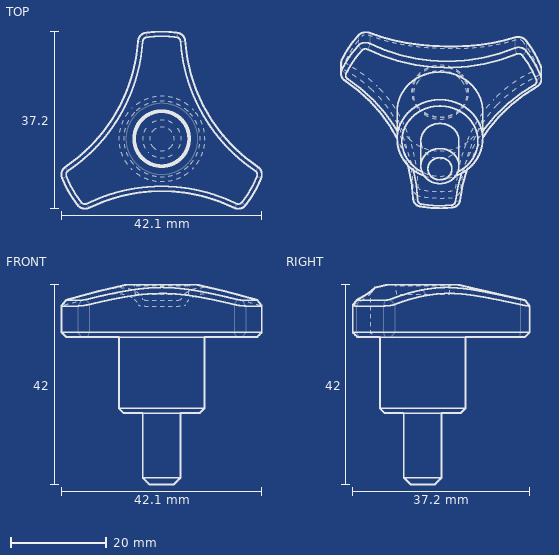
import cadquery as cq
import math

plate_bottom = -11.0
hub_bottom = -26.98
stud_bottom = -42.0

arm_count = 3
tip_radius = 22.5
waist_radius = 11.0
scallop_radius = 34.55
corner_radius = 2.0
edge_chamfer = 1.0
flat_radius = 7.5
crown_angle = math.radians(13)

hub_diameter = 18.0
hub_chamfer = 1.0
stud_diameter = 8.0
stud_chamfer = 1.48

recess_mouth_radius = 6.0
recess_floor_radius = 5.55
recess_depth = 2.0
mouth_chamfer = 0.2


def make_grip():
    """Crowned disc scalloped into arms, with rounded corners and chamfered rims."""
    crown_drop = (tip_radius - flat_radius) * math.tan(crown_angle)
    grip = (
        cq.Workplane("XZ")
        .moveTo(0, plate_bottom)
        .lineTo(tip_radius, plate_bottom)
        .lineTo(tip_radius, -crown_drop)
        .lineTo(flat_radius, 0)
        .lineTo(0, 0)
        .close()
        .revolve(360, (0, 0, 0), (0, 1, 0))
    )
    scallops = (
        cq.Workplane("XY", origin=(0, 0, plate_bottom))
        .polarArray(waist_radius + scallop_radius, -90, 360, arm_count)
        .circle(scallop_radius)
        .extrude(-plate_bottom, combine=False)
    )
    for scallop in scallops.solids().vals():
        grip = grip.cut(cq.Workplane(scallop))
    grip = grip.edges("|Z").fillet(corner_radius)
    crown_rim = grip.faces("%CONE").edges("(not >Z) and (not %LINE)")
    grip = crown_rim.chamfer(edge_chamfer)
    return grip.faces("<Z").chamfer(edge_chamfer)


def make_hub():
    hub = cq.Workplane("XY", origin=(0, 0, hub_bottom)).circle(hub_diameter / 2)
    return hub.extrude(plate_bottom - hub_bottom).faces("<Z").chamfer(hub_chamfer)


def make_stud():
    stud = cq.Workplane("XY", origin=(0, 0, stud_bottom)).circle(stud_diameter / 2)
    stud = stud.extrude(hub_bottom - stud_bottom)
    return stud.faces("<Z").chamfer(stud_chamfer)


def make_recess():
    return (
        cq.Workplane("XZ")
        .lineTo(recess_mouth_radius, 0)
        .lineTo(recess_mouth_radius - mouth_chamfer, -mouth_chamfer)
        .lineTo(recess_floor_radius, -recess_depth)
        .lineTo(0, -recess_depth)
        .close()
        .revolve(360, (0, 0, 0), (0, 1, 0))
    )


result = make_grip().union(make_hub()).union(make_stud()).cut(make_recess())